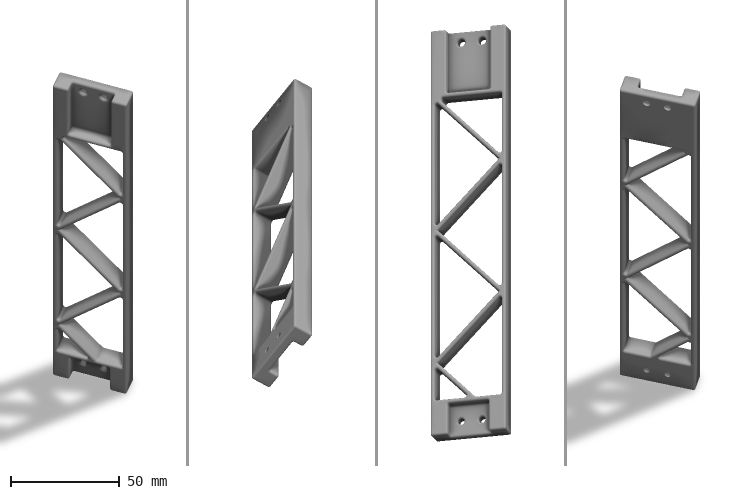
import cadquery as cq
import math

WIDTH = 36.0
DEPTH = 10.0
HEIGHT = 196.0
ROUND = 1.0

FLAT = 0.02
THIN_WALL = 2 * ROUND + FLAT
RAIL = THIN_WALL
STRUT = THIN_WALL
POCKET_WEB = THIN_WALL

TOP_BLOCK = 32.5
BOTTOM_BLOCK = 17.0
PAD_WIDTH = 3.1
PAD_HEIGHT = 2.7

FLOOR_THICKNESS = 4.5
TOP_POCKET_WIDTH = 21.0
BOTTOM_POCKET_WIDTH = 19.8
OVERRUN = 4.0

HOLE_SPACING = 10.0
TOP_HOLE = 3.5
TOP_HOLE_DROP = 5.0
BOTTOM_HOLE = 3.0
BOTTOM_HOLE_RISE = 7.5

BACK = DEPTH / 2
FRONT = -BACK
FLOOR = BACK - FLOOR_THICKNESS
INNER = WIDTH / 2 - RAIL
SPAN = 2 * INNER
WINDOW_TOP = HEIGHT - TOP_BLOCK
WINDOW_BOTTOM = BOTTOM_BLOCK
STRUT_OFFSET = STRUT / math.sqrt(2)
TOLERANCE = 0.02


def prism(points, sharp_corners=()):
    """Solid through the whole depth with the given X-Z outline, rounded except at the sharp corners."""
    solid = cq.Workplane("XZ", origin=(0, BACK, 0)).polyline(points).close().extrude(DEPTH)

    def is_rounded(edge):
        center = edge.Center()
        return all(math.dist((center.x, center.z), corner) > TOLERANCE for corner in sharp_corners)

    return solid.edges("|Y").filter(is_rounded).fillet(ROUND)


def strut_corner(index):
    """Where the zigzag centre line meets a rail, counted downward from the top left."""
    side = -1 if index % 2 == 0 else 1
    return side * INNER, WINDOW_TOP - index * SPAN


def side_window(index):
    """Triangle between a rail and the two struts that meet on the opposite rail."""
    x, z = strut_corner(index)
    tip = (-x + math.copysign(STRUT_OFFSET, x), z - SPAN)
    return prism([
        (x, z - STRUT_OFFSET),
        tip,
        (x, z - 2 * SPAN + STRUT_OFFSET),
    ], [tip])


def first_left_window():
    """Opening below the pad, between the left rail and the first two struts."""
    x, z = strut_corner(0)
    pad_z = z - PAD_HEIGHT
    strut_start = (x + PAD_HEIGHT - STRUT_OFFSET, pad_z)
    tip = (INNER - STRUT_OFFSET, z - SPAN)
    return prism([
        (x, pad_z),
        strut_start,
        tip,
        (x, z - 2 * SPAN + STRUT_OFFSET),
    ], [strut_start, tip])


def first_right_window():
    """Opening between the pad, the top block, the right rail and the first strut."""
    x, z = strut_corner(0)
    pad_x = x + PAD_WIDTH
    strut_start = (pad_x, z - PAD_WIDTH + STRUT_OFFSET)
    return prism([
        (pad_x, z),
        (INNER, z),
        (INNER, z - SPAN + STRUT_OFFSET),
        strut_start,
    ], [strut_start])


def last_left_window():
    """Opening below the last strut, which ends on the bottom block."""
    x, z = strut_corner(4)
    run = z - WINDOW_BOTTOM
    return prism([
        (x, z - STRUT_OFFSET),
        (x + run - STRUT_OFFSET, WINDOW_BOTTOM),
        (x, WINDOW_BOTTOM),
    ])


def last_right_window():
    """Opening between the last two struts, the right rail and the bottom block."""
    x, z = strut_corner(4)
    run = z - WINDOW_BOTTOM
    tip = (x + STRUT_OFFSET, z)
    return prism([
        tip,
        (INNER, z + SPAN - STRUT_OFFSET),
        (INNER, WINDOW_BOTTOM),
        (x + run + STRUT_OFFSET, WINDOW_BOTTOM),
    ], [tip])


def pocket(width, z_low, z_high):
    """Recess open at the front, with a rounded floor and rounded corners."""
    box = cq.Workplane("XY").box(width, FLOOR - FRONT, z_high - z_low, centered=(True, False, False))
    return box.edges("|Y or >Y").fillet(ROUND).translate((0, FRONT, z_low))


def screw_holes(diameter, z):
    """Pair of through holes with a rounded rim at the pocket floor."""
    radius = diameter / 2
    profile = (
        cq.Workplane("XY")
        .moveTo(0, FLOOR)
        .lineTo(radius + ROUND, FLOOR)
        .radiusArc((radius, FLOOR + ROUND), ROUND)
        .lineTo(radius, BACK)
        .lineTo(0, BACK)
        .close()
    )
    hole = profile.revolve(360, (0, 0), (0, 1)).translate((0, 0, z))
    offset = HOLE_SPACING / 2
    return hole.translate((-offset, 0, 0)).union(hole.translate((offset, 0, 0)))


body = cq.Workplane("XY").box(WIDTH, DEPTH, HEIGHT, centered=(True, True, False))
windows = [
    first_left_window(),
    first_right_window(),
    side_window(1),
    side_window(2),
    last_left_window(),
    last_right_window(),
]
for window in windows:
    body = body.cut(window)

body = body.cut(pocket(TOP_POCKET_WIDTH, WINDOW_TOP + POCKET_WEB, HEIGHT + OVERRUN))
body = body.cut(pocket(BOTTOM_POCKET_WIDTH, -OVERRUN, WINDOW_BOTTOM - POCKET_WEB))

body = body.faces("<Y or >Y or <Z or >Z").edges().fillet(ROUND)

body = body.cut(screw_holes(TOP_HOLE, HEIGHT - TOP_HOLE_DROP))
result = body.cut(screw_holes(BOTTOM_HOLE, BOTTOM_HOLE_RISE))